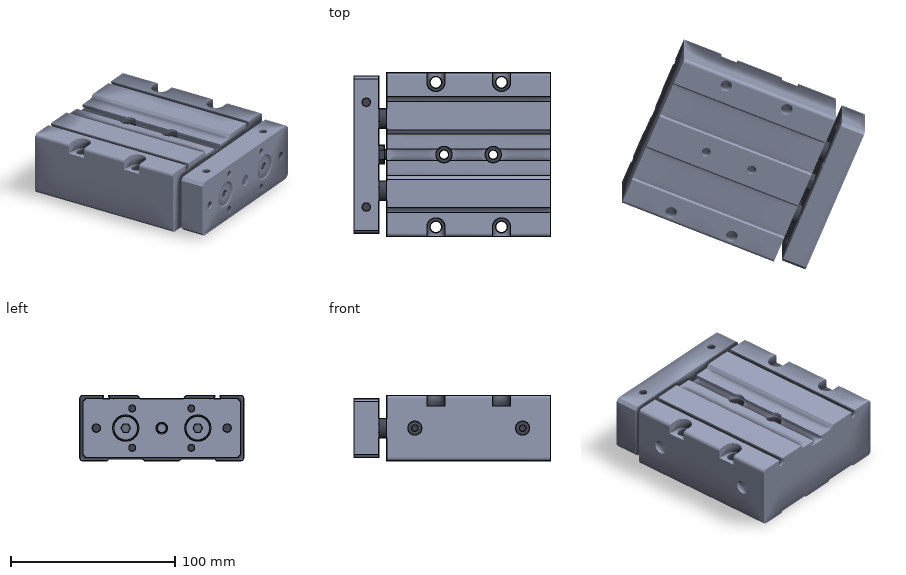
import cadquery as cq
import math


total_length = 120.0
housing_length = 100.0
housing_width = 100.0
housing_height = 40.0
housing_front = total_length - housing_length
housing_top = housing_height / 2
housing_bottom = -housing_height / 2
housing_side = housing_width / 2

edge_radius = 2.0

channel_floor_width = 25.5
channel_depth = 2.3
t_slot_opening = 7.0
t_slot_lip = 1.9
t_slot_width = 11.0
t_slot_height = 1.2
sensor_slot_y = 33.8
sensor_slot_opening = 3.0
sensor_slot_diameter = 4.2
sensor_slot_lip = 1.0
sensor_slot_axis_depth = 2.5
bottom_recess_floor_width = 20.9
bottom_recess_depth = 1.1

edge_hole_x = (50.0, 90.0)
edge_hole_y = 44.0
edge_hole_diameter = 7.0
edge_pocket_width = 11.0
edge_pocket_depth = 6.5
center_hole_x = (55.0, 85.0)
center_hole_diameter = 5.5
center_counterbore_diameter = 10.0
center_counterbore_depth = 10.2

port_end_distance = 17.2
port_x = (housing_front + port_end_distance, total_length - port_end_distance)
port_diameter = 8.5
port_depth = 9.6
port_bore_diameter = 4.0
port_bore_depth = 14.4

plate_thickness = 15.2
plate_width = 96.0
plate_height = 36.0
plate_chamfer = 1.9
front_hole_y = 18.0
front_hole_z = 12.0
front_hole_diameter = 4.2
side_hole_y = 39.8
side_hole_diameter = 5.0
top_hole_y = 31.9
top_hole_diameter = 5.0
top_hole_depth = 12.0

guide_rod_y = 22.0
guide_rod_diameter = 12.0
piston_rod_diameter = 6.0
nut_across_flats = 10.0
nut_thickness = 3.5
countersink_depth = 0.7
screw_head_diameter = 14.5
piston_rod_tip_diameter = 5.5
screw_socket_across_flats = 5.0
screw_socket_depth = 2.4


def x_cylinder(diameter, x_start, length, y=0.0, z=0.0):
    """Cylinder along +X."""
    return cq.Workplane("YZ", origin=(x_start, y, z)).circle(diameter / 2).extrude(length)


def z_cylinder(diameter, x, y, z_top, depth):
    """Cylinder going down from z_top."""
    return cq.Workplane("XY", origin=(x, y, z_top)).circle(diameter / 2).extrude(-depth)


def x_hexagon(across_flats, x_start, length, y=0.0):
    """Hexagonal prism along +X with two corners on the Y direction."""
    across_corners = across_flats / math.cos(math.pi / 6)
    return cq.Workplane("YZ", origin=(x_start, y, 0)).polygon(6, across_corners).extrude(length)


def x_bar(outline):
    """Bar of the housing's length from a closed list of (y, z) points."""
    return cq.Workplane("YZ", origin=(housing_front, 0, 0)).polyline(outline).close().extrude(housing_length)


def housing_block():
    """Block with rounded long edges."""
    return (
        cq.Workplane("YZ", origin=(housing_front, 0, 0))
        .rect(housing_width, housing_height)
        .extrude(housing_length)
        .edges("|X")
        .fillet(edge_radius)
    )


def flared_channel(y, z_open, z_floor, floor_width):
    """Channel that widens from its floor to the outer face at 45 degrees."""
    flare = abs(z_open - z_floor)
    floor_half = floor_width / 2
    return x_bar([
        (y - floor_half - flare, z_open),
        (y - floor_half, z_floor),
        (y + floor_half, z_floor),
        (y + floor_half + flare, z_open),
    ])


def x_slot(y, width, z_top, z_bottom):
    """Rectangular slot of the housing's length."""
    left = y - width / 2
    right = y + width / 2
    return x_bar([(left, z_top), (left, z_bottom), (right, z_bottom), (right, z_top)])


def top_channel():
    """Wide flared channel with a T-slot along its middle."""
    floor_z = housing_top - channel_depth
    lip_bottom = floor_z - t_slot_lip
    channel = flared_channel(0, housing_top, floor_z, channel_floor_width)
    opening = x_slot(0, t_slot_opening, housing_top, lip_bottom)
    undercut = x_slot(0, t_slot_width, lip_bottom, lip_bottom - t_slot_height)
    return channel.union(opening).union(undercut)


def sensor_slot(y):
    """Round-bottomed groove under a narrower opening in the top face."""
    axis_z = housing_top - sensor_slot_axis_depth
    lip_bottom = housing_top - sensor_slot_lip
    opening = x_slot(y, sensor_slot_opening, housing_top, lip_bottom)
    groove = x_slot(y, sensor_slot_diameter, lip_bottom, axis_z)
    round_bottom = x_cylinder(sensor_slot_diameter, housing_front, housing_length, y, axis_z)
    return opening.union(groove).union(round_bottom)


def edge_screw_hole(x, side):
    """Through hole under a round-ended pocket open to the side face; side is +1 or -1."""
    y = side * edge_hole_y
    open_length = housing_side - edge_hole_y
    pocket_round = z_cylinder(edge_pocket_width, x, y, housing_top, edge_pocket_depth)
    pocket_open = (
        cq.Workplane("XY", origin=(x, y + side * open_length / 2, housing_top))
        .rect(edge_pocket_width, open_length)
        .extrude(-edge_pocket_depth)
    )
    hole = z_cylinder(edge_hole_diameter, x, y, housing_top, housing_height)
    return pocket_round.union(pocket_open).union(hole)


def center_screw_hole(x):
    """Counterbored through hole in the middle channel."""
    counterbore = z_cylinder(center_counterbore_diameter, x, 0, housing_top, center_counterbore_depth)
    return counterbore.union(z_cylinder(center_hole_diameter, x, 0, housing_top, housing_height))


def air_port(x):
    """Stepped blind port in the -Y face."""
    face = cq.Workplane("XZ", origin=(x, -housing_side, 0))
    thread = face.circle(port_diameter / 2).extrude(-port_depth)
    return thread.union(face.circle(port_bore_diameter / 2).extrude(-port_bore_depth))


def make_housing():
    body = housing_block().cut(top_channel())
    recess_floor = housing_bottom + bottom_recess_depth
    for side in (-1, 1):
        body = body.cut(sensor_slot(side * sensor_slot_y))
        recess_y = side * guide_rod_y
        body = body.cut(flared_channel(recess_y, housing_bottom, recess_floor, bottom_recess_floor_width))
        for x in edge_hole_x:
            body = body.cut(edge_screw_hole(x, side))
    for x in center_hole_x:
        body = body.cut(center_screw_hole(x))
    for x in port_x:
        body = body.cut(air_port(x))
    return body


def countersink(floor_diameter, y):
    """45 degree countersink in the plate face, ending on the flat end of a screw or rod."""
    face_radius = floor_diameter / 2 + countersink_depth
    return (
        cq.Workplane("XY", origin=(0, y, 0))
        .polyline([(0, 0), (0, face_radius), (countersink_depth, floor_diameter / 2), (countersink_depth, 0)])
        .close()
        .revolve(360, (0, 0, 0), (1, 0, 0))
    )


def plate_block():
    """Plate with chamfered long edges."""
    return (
        cq.Workplane("YZ")
        .rect(plate_width, plate_height)
        .extrude(plate_thickness)
        .edges("|X")
        .chamfer(plate_chamfer)
    )


def make_plate():
    """Front plate in one piece with the rods and the lock nut, which end at the housing face."""
    rod_length = housing_front - plate_thickness
    body = plate_block()
    body = body.union(x_cylinder(piston_rod_diameter, plate_thickness, rod_length))
    body = body.union(x_hexagon(nut_across_flats, plate_thickness, nut_thickness))
    body = body.cut(countersink(piston_rod_tip_diameter, 0))
    for side in (-1, 1):
        rod_y = side * guide_rod_y
        body = body.union(x_cylinder(guide_rod_diameter, plate_thickness, rod_length, rod_y))
        body = body.cut(countersink(screw_head_diameter, rod_y))
        body = body.cut(x_hexagon(screw_socket_across_flats, countersink_depth, screw_socket_depth, rod_y))
        body = body.cut(x_cylinder(side_hole_diameter, 0, plate_thickness, side * side_hole_y))
        top_hole = z_cylinder(
            top_hole_diameter, plate_thickness / 2, side * top_hole_y, plate_height / 2, top_hole_depth
        )
        body = body.cut(top_hole)
        for z in (-front_hole_z, front_hole_z):
            body = body.cut(x_cylinder(front_hole_diameter, 0, plate_thickness, side * front_hole_y, z))
    return body


housing = make_housing()
plate = make_plate()
result = cq.Compound.makeCompound([housing.val(), plate.val()])